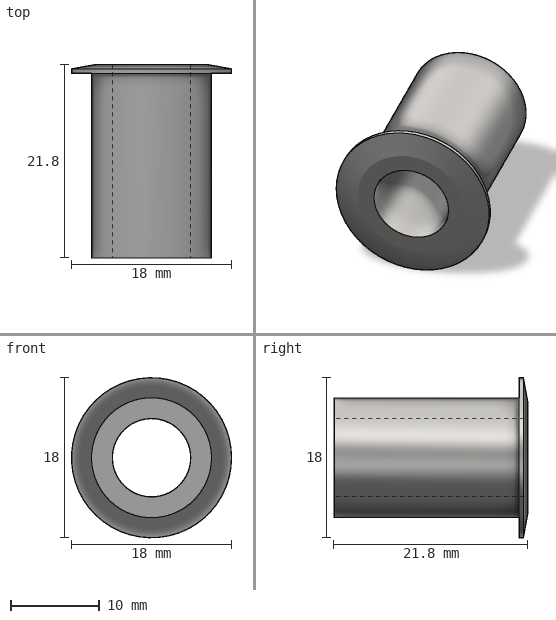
import cadquery as cq

total_length = 21.8
flange_diameter = 18.02
tube_diameter = 13.49
bore_diameter = 8.78
flange_thickness = 1.0
rim_thickness = flange_thickness / 2
end_face_diameter = 12.5

flange_end = total_length / 2
tube_end = -total_length / 2
flange_underside = flange_end - flange_thickness
rim_top = flange_underside + rim_thickness

half_section = (
    cq.Workplane("XY")
    .moveTo(bore_diameter / 2, tube_end)
    .lineTo(tube_diameter / 2, tube_end)
    .lineTo(tube_diameter / 2, flange_underside)
    .lineTo(flange_diameter / 2, flange_underside)
    .lineTo(flange_diameter / 2, rim_top)
    .lineTo(end_face_diameter / 2, flange_end)
    .lineTo(bore_diameter / 2, flange_end)
    .close()
)

result = half_section.revolve(360, (0, 0, 0), (0, 1, 0))